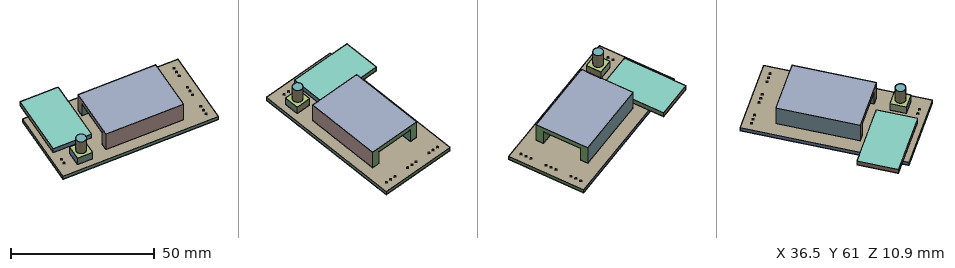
import cadquery as cq

board_width = 30.5
board_length = 60.95
board_thickness = 1.6

pin_hole_diameter = 0.75
pin_pitch = 2.0
pin_edge_distance = 3.25
top_group_spacing = 10.1
top_group_count = 3
top_group_pins = 3
bottom_pair_x = 24.0
bottom_pair_pins = 2

module_overhang = 6.0
module_width = 25.0
module_length = 15.0
module_thickness = 2.0
module_front_margin = 2.15

bridge_width = 21.0
bridge_length = 30.5
bridge_height = 8.0
bridge_roof_thickness = 2.0
bridge_leg_width = 3.0
bridge_left_margin = 5.25
bridge_back_margin = 11.45

button_base_size = 6.0
button_base_height = 3.3
button_right_margin = 2.55
button_front_margin = 7.0
plunger_diameter = 3.8
plunger_height = 6.05


def corner_box(x, y, z, width, length, height):
    """Box placed by its lower left front corner."""
    return cq.Workplane("XY").box(width, length, height, centered=False).translate((x, y, z))


def pin_row(center_x, y, count):
    """Centres of a row of pins along X."""
    first_x = center_x - pin_pitch * (count - 1) / 2
    return [(first_x + pin_pitch * i, y) for i in range(count)]


def make_board():
    centers = pin_row(bottom_pair_x, pin_edge_distance, bottom_pair_pins)
    for group in range(top_group_count):
        group_x = board_width / 2 + top_group_spacing * (group - (top_group_count - 1) / 2)
        centers += pin_row(group_x, board_length - pin_edge_distance, top_group_pins)
    holes = cq.Workplane("XY").pushPoints(centers).circle(pin_hole_diameter / 2).extrude(board_thickness)
    return corner_box(0, 0, 0, board_width, board_length, board_thickness).cut(holes)


def make_module():
    return corner_box(
        -module_overhang, module_front_margin, board_thickness,
        module_width, module_length, module_thickness,
    )


def make_bridge():
    front_y = board_length - bridge_back_margin - bridge_length
    block = corner_box(
        bridge_left_margin, front_y, board_thickness,
        bridge_width, bridge_length, bridge_height,
    )
    tunnel = corner_box(
        bridge_left_margin + bridge_leg_width, front_y, board_thickness,
        bridge_width - 2 * bridge_leg_width, bridge_length, bridge_height - bridge_roof_thickness,
    )
    return block.cut(tunnel)


def make_button():
    base = corner_box(
        board_width - button_right_margin - button_base_size, button_front_margin, board_thickness,
        button_base_size, button_base_size, button_base_height,
    )
    return base.faces(">Z").workplane(centerOption="CenterOfMass").circle(plunger_diameter / 2).extrude(plunger_height)


result = make_board().union(make_module()).union(make_bridge()).union(make_button())